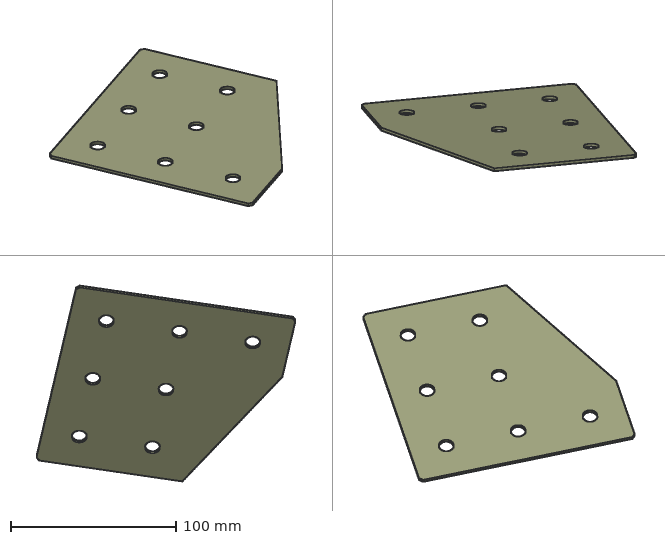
import cadquery as cq

pitch = 45.0
cells = 3
side = cells * pitch
thickness = 2.0
hole_diameter = 9.0
corner_chamfer = 2.0

top_edge_length = 2 * pitch
right_edge_length = pitch

slope_cells = [(2, 1), (2, 2)]


def cell_centre(column, row):
    middle = (cells - 1) / 2
    return ((column - middle) * pitch, (row - middle) * pitch)


def plate_blank():
    half = side / 2
    outline = [
        (-half, -half),
        (half, -half),
        (half, -half + right_edge_length),
        (-half + top_edge_length, half),
        (-half, half),
    ]
    return cq.Workplane("XY").polyline(outline).close().extrude(thickness)


def chamfer_square_corners(plate):
    square_corners = plate.edges("|Z and (<X or <Y)")
    return square_corners.chamfer(corner_chamfer)


def drill_holes(plate):
    grid = [(column, row) for column in range(cells) for row in range(cells)]
    centres = [cell_centre(*cell) for cell in grid if cell not in slope_cells]
    drills = cq.Workplane("XY").pushPoints(centres).circle(hole_diameter / 2).extrude(thickness)
    return plate.cut(drills)


result = drill_holes(chamfer_square_corners(plate_blank()))